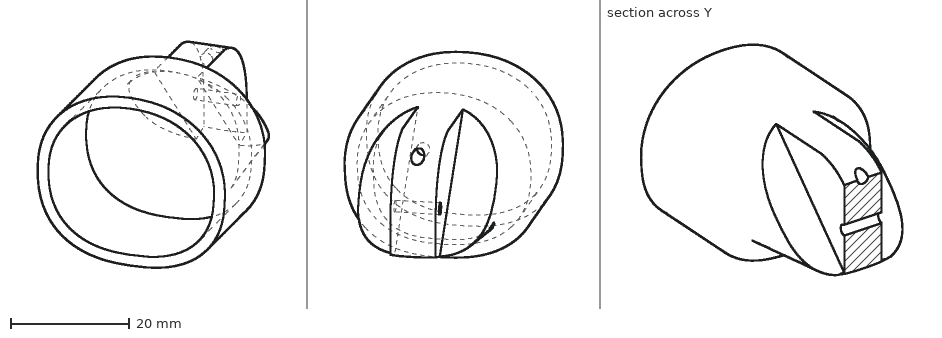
import cadquery as cq
import math

length = 45.0
sleeve_width = 33.98
sleeve_height = 30.75
sleeve_length = 20.0
wall = 2.0
socket_depth = 18.0
edge_radius = 1.0

neck_width = 23.3
neck_top = 12.1
neck_base_bottom = -11.8
neck_bend_y = 40.95
neck_bend_bottom = -8.8
neck_tip_bottom = -7.85

tongue_width = 7.8
ledge_start_y = 21.1
ledge_start_z = 11.6
nose_start_y = 24.3
nose_start_z = 12.15
nose_start_slope = -0.03
nose_shoulder_y = 39.05
nose_shoulder_z = 10.0
nose_end_z = -1.8
pin_diameter = 2.0
pin_y = 41.0
pin_z = -0.2
cord_hole_z = 8.7
cord_hole_diameter = 2.2
cord_hole_end_y = 36.0

upper_exponent = 2.15
sleeve_lower_exponent = 2.4
neck_lower_exponent = 2.8
points_per_half = 12


def half_outline(half_width, height, exponent, start_angle):
    """Points over half a superellipse, running counter-clockwise from start_angle."""
    points = []
    for step in range(points_per_half + 1):
        angle = start_angle + math.pi * step / points_per_half
        c = math.cos(angle)
        s = math.sin(angle)
        x = math.copysign(half_width * abs(c) ** (2 / exponent), c)
        z = math.copysign(height * abs(s) ** (2 / exponent), s)
        points.append((x, z))
    return points


def outline(y, width, top, bottom, lower_exponent):
    """Closed rounded wire lying across the part at the given Y."""
    middle = (top + bottom) / 2
    half_height = (top - bottom) / 2
    upper = half_outline(width / 2, half_height, upper_exponent, 0)
    lower = half_outline(width / 2, half_height, lower_exponent, math.pi)
    plane = cq.Plane(origin=(0, y, middle), xDir=(1, 0, 0), normal=(0, -1, 0))
    return (
        cq.Workplane(plane)
        .spline(upper[:-1] + lower[:-1], periodic=True)
        .wire()
        .val()
    )


def make_neck():
    """Neck lofted through its root, the bend in its underside, and its tip."""
    stations = [
        (sleeve_length, neck_base_bottom),
        (neck_bend_y, neck_bend_bottom),
        (length, neck_tip_bottom),
    ]
    sections = []
    for y, bottom in stations:
        sections.append(outline(y, neck_width, neck_top, bottom, neck_lower_exponent))
    return cq.Workplane(obj=cq.Solid.makeLoft(sections, True))


def make_prism(depth, width, height):
    """Straight rounded prism from Y = 0, centred on the Y axis."""
    wire = outline(0, width, height / 2, -height / 2, sleeve_lower_exponent)
    return cq.Workplane(obj=cq.Solid.extrudeLinear(wire, [], cq.Vector(0, depth, 0)))


def make_ledge_cutter(side):
    """Wedge above the 45 degree ledge on one side (+1 or -1) of the tongue."""
    run = 2 * length
    return (
        cq.Workplane("YZ", origin=(side * tongue_width / 2, 0, 0))
        .moveTo(ledge_start_y, ledge_start_z)
        .lineTo(ledge_start_y + run, ledge_start_z - run)
        .lineTo(ledge_start_y + run, length)
        .lineTo(ledge_start_y, length)
        .close()
        .extrude(side * neck_width)
    )


def make_nose_cutter():
    """Material outside the rounded nose, removed across the whole width."""
    return (
        cq.Workplane("YZ")
        .moveTo(nose_start_y, nose_start_z)
        .spline(
            [(nose_shoulder_y, nose_shoulder_z), (length, nose_end_z)],
            tangents=[(1, nose_start_slope), (0, -1)],
            includeCurrent=True,
        )
        .lineTo(2 * length, nose_end_z)
        .lineTo(2 * length, length)
        .lineTo(nose_start_y, length)
        .close()
        .extrude(neck_width, both=True)
    )


sleeve = make_prism(sleeve_length, sleeve_width, sleeve_height)
sleeve = sleeve.faces(">Y").edges().fillet(edge_radius)
neck = make_neck()
body = sleeve.union(neck)

tolerance = 0.05
root_edges = cq.selectors.BoxSelector(
    (-neck_width / 2 - tolerance, sleeve_length - tolerance, neck_base_bottom - tolerance),
    (neck_width / 2 + tolerance, sleeve_length + tolerance, neck_top + tolerance),
    boundingbox=True,
)
body = body.edges(root_edges).fillet(edge_radius)

for side in (-1, 1):
    body = body.cut(make_ledge_cutter(side))
body = body.cut(make_nose_cutter())

socket = make_prism(socket_depth, sleeve_width - 2 * wall, sleeve_height - 2 * wall)
body = body.cut(socket)

pin_hole = cq.Workplane("YZ").center(pin_y, pin_z).circle(pin_diameter / 2).extrude(tongue_width, both=True)
cord_hole = (
    cq.Workplane("XZ", origin=(0, cord_hole_end_y, cord_hole_z))
    .circle(cord_hole_diameter / 2)
    .extrude(cord_hole_end_y - length)
)
result = body.cut(pin_hole).cut(cord_hole)